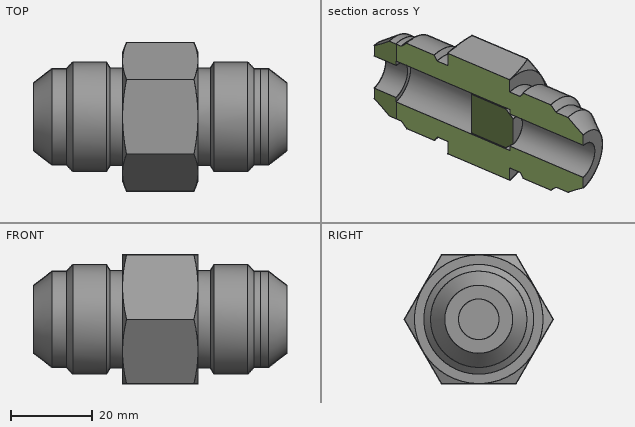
import cadquery as cq
import math


length = 62.35
middle = length / 2
hex_flats = 31.75
hex_corners = hex_flats / math.cos(math.radians(30))
hex_length = 18.6
hex_start = middle - hex_length / 2
hex_face_diameter = 31.6
hex_chamfer_length = 1.0

tip_diameter = 16.7
collar_diameter = 23.7
thread_diameter = 27.0
neck_diameter = 24.1
nose_length = 4.55
collar_end = 8.1
thread_start = 9.65
thread_end = 17.95
neck_start = 18.85

bore_diameter = 10.0
chamber_diameter = 12.7
seat_x = hex_start
ring_length = 6.55
split_x = length - ring_length

poppet_diameter = 12.35
poppet_tip_diameter = 8.0
poppet_length = 12.5
poppet_tip_x = seat_x - (bore_diameter - poppet_tip_diameter) / 2
poppet_cone_end = poppet_tip_x + (poppet_diameter - poppet_tip_diameter) / 2


def revolve_profile(points):
    """Revolve a closed outline of (x, radius) points around the X axis."""
    return cq.Workplane("XY").polyline(points).close().revolve(360, (0, 0, 0), (1, 0, 0))


def cylinder(diameter, start, end):
    return cq.Workplane("YZ", origin=(start, 0, 0)).circle(diameter / 2).extrude(end - start)


def make_male_end():
    """Flared nose, collar, thread and neck, from the end face at x = 0 to the middle."""
    return revolve_profile([
        (0, 0),
        (0, tip_diameter / 2),
        (nose_length, collar_diameter / 2),
        (collar_end, collar_diameter / 2),
        (thread_start, thread_diameter / 2),
        (thread_end, thread_diameter / 2),
        (neck_start, neck_diameter / 2),
        (middle, neck_diameter / 2),
        (middle, 0),
    ])


def make_hexagon():
    """Hexagon with flats up and down, its corners chamfered by cones at both faces."""
    hex_end = hex_start + hex_length
    prism = cq.Workplane("YZ", origin=(hex_start, 0, 0)).polygon(6, hex_corners).extrude(hex_length)
    chamfer_envelope = revolve_profile([
        (hex_start, 0),
        (hex_start, hex_face_diameter / 2),
        (hex_start + hex_chamfer_length, hex_corners / 2),
        (hex_end - hex_chamfer_length, hex_corners / 2),
        (hex_end, hex_face_diameter / 2),
        (hex_end, 0),
    ])
    return prism.intersect(chamfer_envelope)


def make_outer_shape():
    """Solid outside form of the whole fitting, symmetric about its middle."""
    left_end = make_male_end()
    right_end = left_end.mirror("YZ", (middle, 0, 0))
    return left_end.union(right_end).union(make_hexagon())


def make_housing(outer_shape):
    """Fitting up to the nose ring, with inlet bore and poppet chamber."""
    return (
        outer_shape.intersect(cylinder(hex_corners, 0, split_x))
        .cut(cylinder(bore_diameter, 0, seat_x))
        .cut(cylinder(chamber_diameter, seat_x, split_x))
    )


def make_nose_ring(outer_shape):
    """Bored ring that closes the chamber at the +X end."""
    return (
        outer_shape.intersect(cylinder(hex_corners, split_x, length))
        .cut(cylinder(bore_diameter, split_x, length))
    )


def make_poppet():
    """Flat-tipped conical poppet."""
    poppet_end = poppet_tip_x + poppet_length
    return revolve_profile([
        (poppet_tip_x, 0),
        (poppet_tip_x, poppet_tip_diameter / 2),
        (poppet_cone_end, poppet_diameter / 2),
        (poppet_end, poppet_diameter / 2),
        (poppet_end, 0),
    ])


outer_shape = make_outer_shape()
housing = make_housing(outer_shape)
nose_ring = make_nose_ring(outer_shape)
poppet = make_poppet()

result = cq.Compound.makeCompound([housing.solids().val(), nose_ring.solids().val(), poppet.val()])